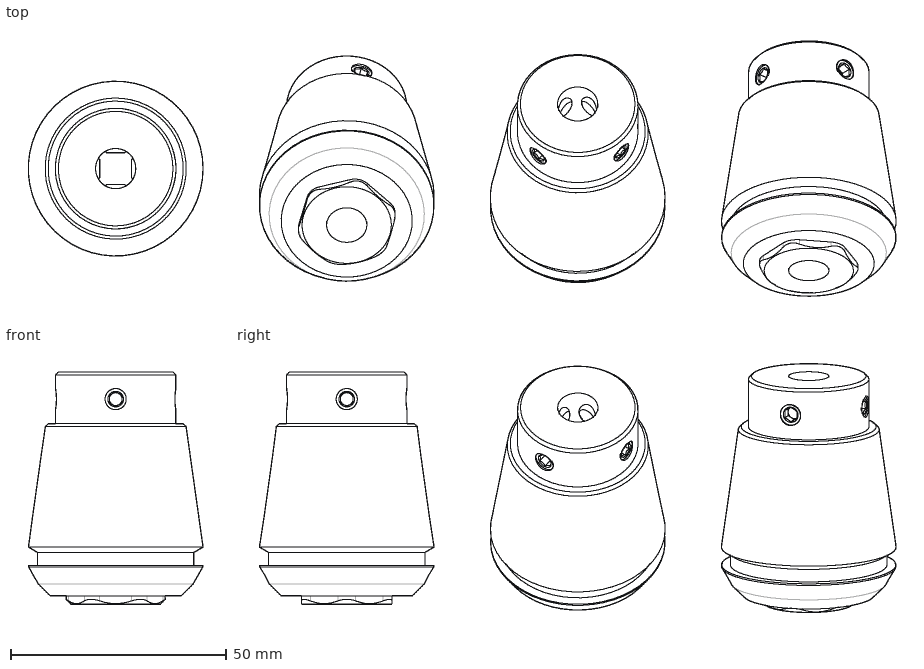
import cadquery as cq
import math

total_height = 54.0
bore_diameter = 9.35

nut_bottom_z = 1.95
nut_bottom_radius = 15.25
nut_corner_z = 4.75
nut_corner_radius = nut_bottom_radius + nut_corner_z - nut_bottom_z
rim_diameter = 40.55
rim_bottom_z = 8.7
rim_top_z = 9.05

groove_diameter = 36.4
groove_top_z = 12.05

body_diameter = 40.65
body_bottom_z = 13.3
shoulder_z = 41.95
shoulder_chamfer_height = 0.65
shoulder_chamfer_width = 0.7
body_taper_angle = 8.0

head_diameter = 28.0
head_chamfer = 0.7

hex_across_flats = 21.05
hex_corner_fillet = 4.1
hex_bottom_radius = 10.35

screw_count = 4
screw_diameter = 4.9
screw_z = 47.7
screw_outer_reach = 13.55
screw_tip_reach = 3.65
screw_tip_diameter = 4.2
flare_overlap = 0.25
socket_across_flats = 2.95
socket_mouth_diameter = 3.6
socket_turn = 30.0
socket_depth = 2.7
socket_cone_depth = 0.8


def make_body():
    """Revolved outline of the nut cap, groove, tapered body and head."""
    taper_top_z = shoulder_z - shoulder_chamfer_height
    taper_inset = (taper_top_z - body_bottom_z) * math.tan(math.radians(body_taper_angle))
    taper_top_radius = body_diameter / 2 - taper_inset
    head_radius = head_diameter / 2
    outline = [
        (0, nut_bottom_z),
        (nut_bottom_radius, nut_bottom_z),
        (nut_corner_radius, nut_corner_z),
        (rim_diameter / 2, rim_bottom_z),
        (rim_diameter / 2, rim_top_z),
        (groove_diameter / 2, rim_top_z),
        (groove_diameter / 2, groove_top_z),
        (body_diameter / 2, body_bottom_z),
        (taper_top_radius, taper_top_z),
        (taper_top_radius - shoulder_chamfer_width, shoulder_z),
        (head_radius, shoulder_z),
        (head_radius, total_height - head_chamfer),
        (head_radius - head_chamfer, total_height),
        (0, total_height),
    ]
    return cq.Workplane("XZ").polyline(outline).close().revolve(360, (0, 0), (0, 1))


def make_hex_end():
    """Hexagon with rounded corners and a 45 degree conical chamfer at its bottom."""
    corner_diameter = hex_across_flats / math.cos(math.pi / 6)
    hexagon = (
        cq.Workplane("XY")
        .polygon(6, corner_diameter)
        .extrude(nut_bottom_z)
        .edges("|Z")
        .fillet(hex_corner_fillet)
    )
    cone = cq.Workplane("XY").add(
        cq.Solid.makeCone(hex_bottom_radius, hex_bottom_radius + nut_bottom_z, nut_bottom_z)
    )
    return hexagon.intersect(cone)


def make_screw():
    """Set screw along +X with a 45 degree flared tip and a hexagon socket."""
    flare_length = bore_diameter / 2 + flare_overlap - screw_tip_reach
    shank_length = screw_outer_reach - screw_tip_reach - flare_length
    mouth_chamfer = (socket_mouth_diameter - socket_across_flats) / 2
    face = cq.Workplane("YZ").workplane(offset=screw_outer_reach).center(0, screw_z)
    screw = face.circle(screw_diameter / 2).extrude(-shank_length)
    tip = cq.Solid.makeCone(
        screw_tip_diameter / 2,
        screw_tip_diameter / 2 + flare_length,
        flare_length,
        cq.Vector(screw_tip_reach, 0, screw_z),
        cq.Vector(1, 0, 0),
    )
    socket_hex = (
        face.transformed(rotate=(0, 0, socket_turn))
        .polygon(6, socket_across_flats / math.cos(math.pi / 6))
        .extrude(-socket_depth)
    )
    inward = cq.Vector(-1, 0, 0)
    mouth = cq.Solid.makeCone(
        socket_mouth_diameter / 2,
        socket_across_flats / 2,
        mouth_chamfer,
        cq.Vector(screw_outer_reach, 0, screw_z),
        inward,
    )
    drill_point = cq.Solid.makeCone(
        socket_across_flats / 2,
        0,
        socket_cone_depth,
        cq.Vector(screw_outer_reach - socket_depth, 0, screw_z),
        inward,
    )
    socket = socket_hex.union(cq.Workplane(mouth)).union(cq.Workplane(drill_point))
    return screw.union(cq.Workplane(tip)).cut(socket)


result = make_body().union(make_hex_end())
result = result.cut(cq.Workplane("XY").circle(bore_diameter / 2).extrude(total_height))

screw_hole = (
    cq.Workplane("YZ").center(0, screw_z).circle(screw_diameter / 2).extrude(head_diameter / 2)
)
screw = make_screw()
for index in range(screw_count):
    angle = index * 360 / screw_count
    result = result.cut(screw_hole.rotate((0, 0, 0), (0, 0, 1), angle))
    result = result.union(screw.rotate((0, 0, 0), (0, 0, 1), angle))